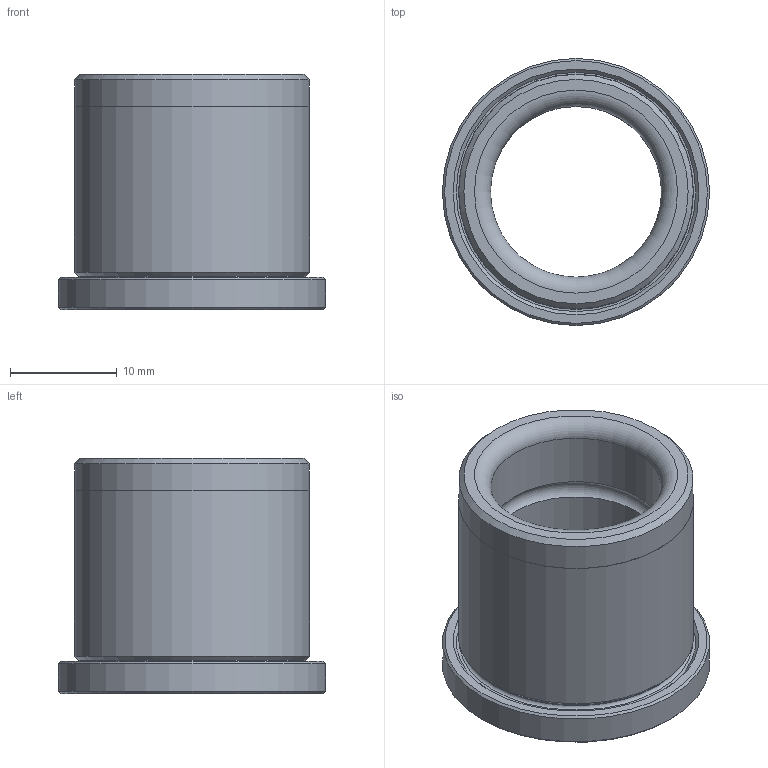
import cadquery as cq
import math

total_height = 22.0
bore_radius = 8.0

flange_radius = 12.5
flange_height = 3.0
flange_chamfer = 0.2

body_radius = 11.0
lead_in_length = 3.0
lead_in_relief = 0.02
top_chamfer = 0.5
mouth_radius = 1.5

undercut_reach = 0.5
undercut_flange_depth = 0.3
undercut_body_depth = 0.4
undercut_corner_radius = 0.3

groove_radius = 1.0
groove_depth = 0.5
groove_height = 14.65

COS_45 = math.sqrt(0.5)


def add_flange(outline):
    """Draw the flange from its underside up to the start of the undercut."""
    return (
        outline
        .lineTo(flange_radius - flange_chamfer, 0)
        .lineTo(flange_radius, flange_chamfer)
        .lineTo(flange_radius, flange_height - flange_chamfer)
        .lineTo(flange_radius - flange_chamfer, flange_height)
    )


def add_undercut(outline):
    """Draw the undercut: 45 degree ends, a flat floor, a rounded inner corner and a straight wall."""
    floor_z = flange_height - undercut_flange_depth
    wall_r = body_radius - undercut_body_depth
    floor_end_r = body_radius + undercut_reach - undercut_flange_depth
    wall_top_z = flange_height + undercut_reach - undercut_body_depth
    corner_inset = undercut_corner_radius * (1 - COS_45)
    return (
        outline
        .lineTo(body_radius + undercut_reach, flange_height)
        .lineTo(floor_end_r, floor_z)
        .lineTo(wall_r + undercut_corner_radius, floor_z)
        .threePointArc(
            (wall_r + corner_inset, floor_z + corner_inset),
            (wall_r, floor_z + undercut_corner_radius),
        )
        .lineTo(wall_r, wall_top_z)
        .lineTo(body_radius, flange_height + undercut_reach)
    )


def add_body(outline):
    """Draw the body, its lead-in and the chamfer below the top face."""
    lead_in_radius = body_radius - lead_in_relief
    lead_in_bottom = total_height - lead_in_length
    return (
        outline
        .lineTo(body_radius, lead_in_bottom)
        .lineTo(lead_in_radius, lead_in_bottom)
        .lineTo(lead_in_radius, total_height - top_chamfer)
        .lineTo(body_radius - top_chamfer, total_height)
    )


def add_bore(outline):
    """Draw the rounded mouth and the grooved bore, from the top face down to the foot."""
    mouth_inset = mouth_radius * (1 - COS_45)
    groove_half_width = math.sqrt(groove_radius**2 - (groove_radius - groove_depth) ** 2)
    return (
        outline
        .lineTo(bore_radius + mouth_radius, total_height)
        .threePointArc(
            (bore_radius + mouth_inset, total_height - mouth_inset),
            (bore_radius, total_height - mouth_radius),
        )
        .lineTo(bore_radius, groove_height + groove_half_width)
        .threePointArc(
            (bore_radius + groove_depth, groove_height),
            (bore_radius, groove_height - groove_half_width),
        )
    )


section = cq.Workplane("XZ").moveTo(bore_radius, 0)
section = add_flange(section)
section = add_undercut(section)
section = add_body(section)
section = add_bore(section).close()

result = section.revolve(360, (0, 0, 0), (0, 1, 0))